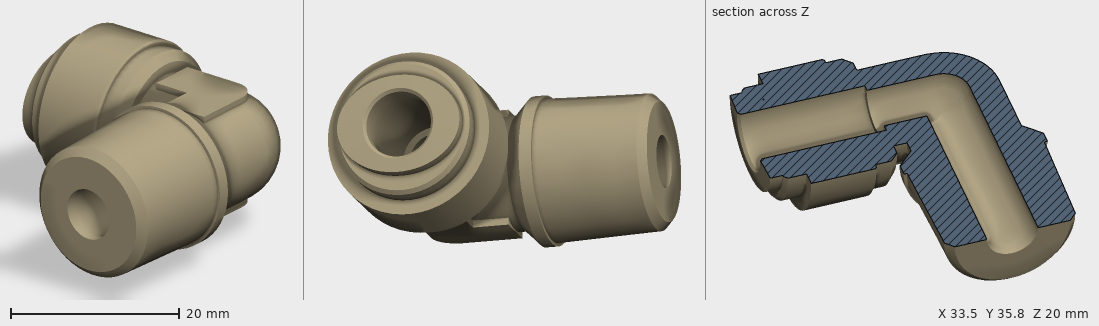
import cadquery as cq

overall_width = 33.5
overall_length = 35.8

neck_radius = 6.95
bore_radius = 3.2

body_radius = 20.0 / 2
body_edge_chamfer = 0.25
collar_radius = 8.27
collar_chamfer = 0.45
shoulder_radius = 9.35
shoulder_chamfer = 1.1
shoulder_inner_x = -8.6
body_inner_x = -11.67
body_outer_x = -19.98
collar_outer_x = -22.77

ring_half_width = 7.6
ring_half_height = 6.0
ring_face_slope_depth = 0.18
socket_radius = 4.0
socket_mouth_chamfer = 0.35

flange_radius = 18.05 / 2
flange_cone_start_y = -8.35
flange_rim_start_y = -10.4
flange_end_y = -11.95
thread_root_radius = 8.63
thread_tip_radius = 8.25
thread_end_chamfer = 1.0

pad_half_width = 3.0
pad_height = 7.12
pad_tube_end_x = -7.65
pad_thread_end_y = -7.37

ring_face_x = flange_radius - overall_width
thread_end_y = body_radius - overall_length


def turned_about_x(points):
    """Revolve an (x, radius) outline about the X axis."""
    outline = cq.Workplane("XY").polyline(points).close()
    return outline.revolve(360, (0, 0, 0), (1, 0, 0))


def turned_about_y(points):
    """Revolve a (radius, y) outline about the Y axis."""
    outline = cq.Workplane("XY").polyline(points).close()
    return outline.revolve(360, (0, 0, 0), (0, 1, 0))


def ball_elbow(radius, tube_end_x, thread_end):
    """Two round arms joined by a ball at the crossing of the axes."""
    tube_arm = cq.Workplane("YZ").circle(radius).extrude(tube_end_x)
    thread_arm = cq.Workplane("XZ").circle(radius).extrude(-thread_end)
    return tube_arm.union(thread_arm).union(cq.Workplane("XY").sphere(radius))


def tube_port():
    return turned_about_x([
        (shoulder_inner_x, 0),
        (shoulder_inner_x, shoulder_radius - shoulder_chamfer),
        (shoulder_inner_x - shoulder_chamfer, shoulder_radius),
        (body_inner_x, shoulder_radius),
        (body_inner_x, body_radius - body_edge_chamfer),
        (body_inner_x - body_edge_chamfer, body_radius),
        (body_outer_x, body_radius),
        (body_outer_x, collar_radius),
        (collar_outer_x + collar_chamfer, collar_radius),
        (collar_outer_x, collar_radius - collar_chamfer),
        (collar_outer_x, 0),
    ])


def release_ring():
    """Oval ring whose end face slopes back slightly from the socket mouth."""
    oval = (
        cq.Workplane("YZ", origin=(body_outer_x, 0, 0))
        .ellipse(ring_half_width, ring_half_height)
        .extrude(ring_face_x - body_outer_x)
    )
    sloped_face = turned_about_x([
        (body_outer_x, 0),
        (body_outer_x, ring_half_width),
        (ring_face_x + ring_face_slope_depth, ring_half_width),
        (ring_face_x, socket_radius + socket_mouth_chamfer),
        (ring_face_x, 0),
    ])
    return oval.intersect(sloped_face)


def threaded_port():
    return turned_about_y([
        (0, flange_cone_start_y),
        (neck_radius, flange_cone_start_y),
        (flange_radius, flange_rim_start_y),
        (flange_radius, flange_end_y),
        (thread_root_radius, flange_end_y),
        (thread_tip_radius, thread_end_y + thread_end_chamfer),
        (thread_tip_radius - thread_end_chamfer, thread_end_y),
        (0, thread_end_y),
    ])


def elbow_pads():
    """L-shaped block whose top and bottom form the two raised pads."""
    w = pad_half_width
    return (
        cq.Workplane("XY")
        .moveTo(pad_tube_end_x, w)
        .lineTo(0, w)
        .radiusArc((w, 0), w)
        .lineTo(w, pad_thread_end_y)
        .lineTo(-w, pad_thread_end_y)
        .lineTo(-w, -w)
        .lineTo(pad_tube_end_x, -w)
        .close()
        .extrude(pad_height, both=True)
    )


def tube_socket():
    return turned_about_x([
        (shoulder_inner_x, 0),
        (shoulder_inner_x, socket_radius),
        (ring_face_x + socket_mouth_chamfer, socket_radius),
        (ring_face_x, socket_radius + socket_mouth_chamfer),
        (ring_face_x, 0),
    ])


result = (
    ball_elbow(neck_radius, shoulder_inner_x, flange_cone_start_y)
    .union(elbow_pads())
    .union(tube_port())
    .union(release_ring())
    .union(threaded_port())
    .cut(ball_elbow(bore_radius, ring_face_x, thread_end_y))
    .cut(tube_socket())
)